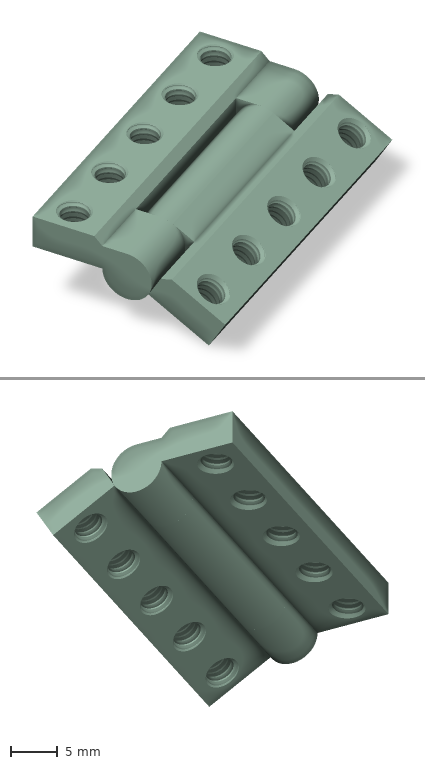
import cadquery as cq
import math

HINGE_LENGTH = 38.0
OPEN_ANGLE = 30.0
TOTAL_WIDTH = 23.45
LEAF_THICKNESS = 4.0
KNUCKLE_RADIUS = 3.0
PIN_DIAMETER = 2.0
CENTER_KNUCKLE_LENGTH = 22.8
CENTER_KNUCKLE_START = (HINGE_LENGTH - CENTER_KNUCKLE_LENGTH) / 2

TILT = math.radians(OPEN_ANGLE)
LEAF_REACH = (TOTAL_WIDTH - LEAF_THICKNESS * math.sin(TILT)) / (1 + math.cos(TILT))
STEP_HEIGHT = LEAF_THICKNESS - KNUCKLE_RADIUS

HOLE_COUNT = 5
HOLE_END_MARGIN = 3.0
HOLE_PITCH = (HINGE_LENGTH - 2 * HOLE_END_MARGIN) / (HOLE_COUNT - 1)
HOLE_EDGE_MARGIN = 3.5
MINOR_DIAMETER = 3.23
MAJOR_DIAMETER = 4.0
THREAD_PITCH = 0.7
ROOT_FLAT = THREAD_PITCH / 8
FLANK_ANGLE = math.radians(30)
ROOT_CLEARANCE = 0.02
CUTTER_OVERLAP = 0.08


def along_pin(sketch, start, length):
    """Extrude an XZ sketch from Y = start to Y = start + length."""
    return sketch.extrude(-length).translate((0, start, 0))


def pin_section(radius, start, length):
    return along_pin(cq.Workplane("XZ").circle(radius), start, length)


def make_bore_cutter():
    """Bore of one hole with a chamfer at each mouth, standing on Z = 0."""
    minor_radius = MINOR_DIAMETER / 2
    major_radius = MAJOR_DIAMETER / 2
    depth = major_radius - minor_radius
    return (
        cq.Workplane("XZ")
        .polyline([
            (0, 0),
            (major_radius, 0),
            (minor_radius, depth),
            (minor_radius, LEAF_THICKNESS - depth),
            (major_radius, LEAF_THICKNESS),
            (0, LEAF_THICKNESS),
        ])
        .close()
        .revolve(360, (0, 0, 0), (0, 1, 0))
    )


def make_groove_cutter():
    """Helical thread groove of one hole, running one turn past both leaf faces."""
    root_radius = MAJOR_DIAMETER / 2 - ROOT_CLEARANCE
    inner_radius = MINOR_DIAMETER / 2 - CUTTER_OVERLAP
    half_root = ROOT_FLAT / 2
    half_mouth = half_root + (root_radius - inner_radius) * math.tan(FLANK_ANGLE)
    helix = cq.Wire.makeHelix(THREAD_PITCH, LEAF_THICKNESS + 2 * THREAD_PITCH, inner_radius)
    return (
        cq.Workplane("XZ")
        .polyline([
            (inner_radius, -half_mouth),
            (root_radius, -half_root),
            (root_radius, half_root),
            (inner_radius, half_mouth),
        ])
        .close()
        .sweep(cq.Workplane(obj=helix), isFrenet=True)
        .translate((0, 0, -THREAD_PITCH))
    )


def make_hole_cutter():
    """Whole threaded hole as one solid: what a block loses to the bore and the groove."""
    block = cq.Workplane("XY").box(
        2 * MAJOR_DIAMETER, 2 * MAJOR_DIAMETER, LEAF_THICKNESS, centered=(True, True, False)
    )
    threaded_block = block.cut(make_bore_cutter()).cut(make_groove_cutter())
    return block.cut(threaded_block)


def make_leaf_plate():
    """Flat leaf on the -X side, with its step, ending on the pin axis, and threaded holes."""
    step_top = -KNUCKLE_RADIUS - STEP_HEIGHT
    outline = (
        cq.Workplane("XZ")
        .moveTo(-LEAF_REACH, 0)
        .lineTo(-LEAF_REACH, LEAF_THICKNESS)
        .lineTo(step_top, LEAF_THICKNESS)
        .lineTo(-KNUCKLE_RADIUS, KNUCKLE_RADIUS)
        .lineTo(0, KNUCKLE_RADIUS)
        .lineTo(0, 0)
        .close()
    )
    plate = along_pin(outline, 0, HINGE_LENGTH)
    cutter = make_hole_cutter()
    for index in range(HOLE_COUNT):
        hole_y = HOLE_END_MARGIN + index * HOLE_PITCH
        plate = plate.cut(cutter.translate((HOLE_EDGE_MARGIN - LEAF_REACH, hole_y, 0)))
    return plate


def make_leaf(plate, knuckles, gaps):
    """Give a plate its knuckles, clear the gaps between them and bore for the pin."""
    leaf = plate
    for start, length in gaps:
        clearance = cq.Workplane("XY").box(
            KNUCKLE_RADIUS, length, KNUCKLE_RADIUS, centered=False
        )
        leaf = leaf.cut(clearance.translate((-KNUCKLE_RADIUS, start, 0)))
    for start, length in knuckles:
        leaf = leaf.union(pin_section(KNUCKLE_RADIUS, start, length))
    return leaf.cut(pin_section(PIN_DIAMETER / 2, 0, HINGE_LENGTH))


center_span = [(CENTER_KNUCKLE_START, CENTER_KNUCKLE_LENGTH)]
end_spans = [
    (0, CENTER_KNUCKLE_START),
    (HINGE_LENGTH - CENTER_KNUCKLE_START, CENTER_KNUCKLE_START),
]
leaf_plate = make_leaf_plate()

level_leaf = make_leaf(leaf_plate, end_spans, center_span)

tilted_leaf = (
    make_leaf(leaf_plate, center_span, end_spans)
    .rotate((0, 0, 0), (0, 0, 1), 180)
    .translate((0, HINGE_LENGTH, 0))
    .rotate((0, 0, 0), (0, 1, 0), OPEN_ANGLE)
)

pin = pin_section(PIN_DIAMETER / 2, 0, HINGE_LENGTH)

result = cq.Compound.makeCompound([level_leaf.solids().val(), tilted_leaf.solids().val(), pin.val()])